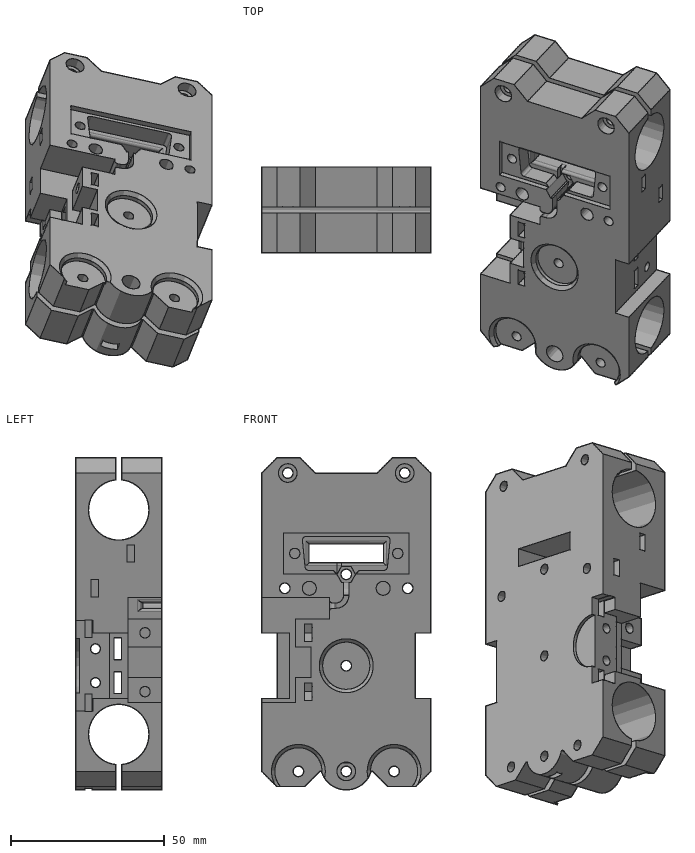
import cadquery as cq
import math


width = 55.0
thickness = 28.0
height = 108.0
top_z = 53.5
foot_z = -top_z
lobe_z = top_z - height
corner = 5.0
tab_inner_x = 15.0
foot_inner_x = 13.5
lobe_radius = 8.4
front_y = -thickness / 2
back_y = thickness / 2
side_x = width / 2

rod_z = 36.5
rod_diameter = 19.5
slit_width = 1.9

screw_diameter = 3.3
screw_head_diameter = 6.0
nut_flats = 5.6
nut_thickness = 2.4
nut_corner = nut_flats / math.sqrt(3)
clamp_z = 48.5
tab_screw_x = 19.0
tab_head_depth = 3.5
lobe_head_depth = 10.8
side_screw_x = 20.0
side_screw_z = 11.0
side_nut_y = 7.8
dowel_x = 12.0
dowel_diameter = 4.5
dowel_depth = 5.4

wheel_radius = 8.7
wheel_floor_radius = 7.7
wheel_depth = 2.7
wheel_taper = 1.3
foot_wheel_x = 15.5

mid_z = -14.1
notch_height = 21.2
notch_x = 22.5
deep_notch_x = 18.5
deep_notch_half_y = 3.0
rear_notch_y = 8.4
rear_notch_height = 29.4
rear_nut_x = 19.4
rear_nut_y = 9.8
rear_nut_spacing = 24.0
rear_recess_radius = 8.9
rear_recess_depth = 1.2
strap_y = 0.3
strap_width = 2.4
strap_height = 7.0
strap_spacing = 11.0
cross_hole_y = 7.6
cross_hole_diameter = 3.1

step_floor_y = -3.0
step_top_z = 8.1
step_shelf_z = 1.1
step_bottom_z = -26.0
step_end_x = -5.5
step_wall_x = -16.5
step_bay_x = -11.5
step_bay_top_z = -8.1
step_bay_bottom_z = -18.0
step_nut_x = -12.3
step_nut_y = -8.5
step_nut_z = (-3.5, -22.6)
step_screw_end_x = -8.6

seat_z = 22.4
seat_width = 40.8
seat_height = 13.3
seat_depth = 1.7
shell_top_half = 14.4
shell_bottom_half = 13.3
shell_height = 11.0
shell_round = 1.2
shell_depth = 7.3
window_width = 24.1
window_height = 6.0
window_round = 1.0
seat_screw_x = 16.7
seat_screw_depth = 6.5
seat_nut_y = -3.9

duct_nut_z = 15.5
duct_nut_corner = 3.0
duct_nut_floor_y = -3.0
duct_side_slot = 1.5
duct_side_slot_floor_y = -4.3
duct_flare = 4.2
duct_width = 1.7
duct_depth = 6.0
duct_bend = 3.3
duct_exit_z = 5.4
mouth_side_round = 1.1
mouth_floor_round = 1.8


def box(x0, x1, y0, y1, z0, z1):
    """Block between two opposite corners."""
    return cq.Workplane("XY").box(x1 - x0, y1 - y0, z1 - z0, centered=False).translate((x0, y0, z0))


def outline(y):
    """Front plane sketch at depth y: local x is X, local y is Z, negative extrusion goes to +Y."""
    plane = cq.Plane(origin=(0, y, 0), xDir=(1, 0, 0), normal=(0, -1, 0))
    return cq.Workplane(plane)


def cylinder(x, z, diameter, y0=front_y, depth=thickness):
    """Cylinder along +Y starting at y0."""
    return outline(y0).center(x, z).circle(diameter / 2).extrude(-depth)


def flat_nut_slot(reach):
    """Square-ended slot for a nut at the origin, reaching out along -X; nut thickness along Y."""
    half = nut_flats / 2
    return box(-reach, half, -nut_thickness / 2, nut_thickness / 2, -half, half)


def side_nut_slot(x, y, z):
    """Slot for the nut of a screw along Y, open on the left side."""
    return flat_nut_slot(side_x - x).translate((-x, y, z))


def mirrored(cutter):
    """A cutter together with its mirror image on the other side of the width."""
    return cutter.union(cutter.mirror("YZ"))


half_outline = [
    (0, top_z - corner),
    (tab_inner_x - corner, top_z - corner),
    (tab_inner_x, top_z),
    (side_x - corner, top_z),
    (side_x, top_z - corner),
    (side_x, foot_z + corner),
    (side_x - corner, foot_z),
    (foot_inner_x, foot_z),
    (foot_inner_x - corner, foot_z + corner),
    (0, foot_z + corner),
]
body = mirrored(outline(front_y).polyline(half_outline).close().extrude(-thickness))
body = body.union(cylinder(0, lobe_z + lobe_radius, 2 * lobe_radius))


def cut_rods(part):
    for sign in (1, -1):
        rod = cq.Workplane("YZ").center(0, sign * rod_z).circle(rod_diameter / 2).extrude(side_x, both=True)
        slit = box(-side_x, side_x, -slit_width / 2, slit_width / 2, rod_z, height)
        if sign < 0:
            slit = slit.mirror("XY")
        part = part.cut(rod).cut(slit)
    return part


def cut_connector(part):
    seat = outline(front_y).center(0, seat_z).rect(seat_width, seat_height).extrude(-seat_depth)
    half = shell_height / 2
    shell_points = [
        (-shell_bottom_half, -half),
        (shell_bottom_half, -half),
        (shell_top_half, half),
        (-shell_top_half, half),
    ]
    shell = outline(front_y).center(0, seat_z).polyline(shell_points).close().extrude(-shell_depth)
    shell = shell.edges("|Y").fillet(shell_round)
    window = outline(front_y).center(0, seat_z).rect(window_width, window_height).extrude(-thickness)
    part = part.cut(seat).cut(shell).cut(window)
    margin = 0.1
    rim_y = front_y + shell_depth
    rim = cq.selectors.BoxSelector(
        (-window_width / 2 - margin, rim_y - margin, seat_z - window_height / 2 - margin),
        (window_width / 2 + margin, rim_y + margin, seat_z + window_height / 2 + margin),
    )
    part = part.edges(rim).fillet(window_round)
    screw = cylinder(-seat_screw_x, seat_z, screw_diameter, depth=seat_depth + seat_screw_depth)
    return part.cut(mirrored(screw)).cut(mirrored(side_nut_slot(seat_screw_x, seat_nut_y, seat_z)))


def cut_screws(part):
    tab = cylinder(-tab_screw_x, clamp_z, screw_diameter)
    tab_head = cylinder(-tab_screw_x, clamp_z, screw_head_diameter, depth=tab_head_depth)
    part = part.cut(mirrored(tab.union(tab_head)))
    part = part.cut(cylinder(0, -clamp_z, screw_diameter))
    part = part.cut(cylinder(0, -clamp_z, screw_head_diameter, depth=lobe_head_depth))
    lobe_slot = flat_nut_slot(lobe_radius).rotate((0, 0, 0), (0, 1, 0), -90)
    part = part.cut(lobe_slot.translate((0, rear_nut_y, -clamp_z)))
    part = part.cut(mirrored(cylinder(-side_screw_x, side_screw_z, screw_diameter)))
    part = part.cut(mirrored(side_nut_slot(side_screw_x, side_nut_y, side_screw_z)))
    return part.cut(mirrored(cylinder(-dowel_x, side_screw_z, dowel_diameter, depth=dowel_depth)))


def cut_wheel_recesses(part):
    profile = [
        (0, 0),
        (wheel_radius, 0),
        (wheel_floor_radius, wheel_taper),
        (wheel_floor_radius, wheel_depth),
        (0, wheel_depth),
    ]
    recess = cq.Workplane("XY").polyline(profile).close().revolve(360, (0, 0, 0), (0, 1, 0))
    for x, z in ((0, mid_z), (-foot_wheel_x, -clamp_z), (foot_wheel_x, -clamp_z)):
        part = part.cut(recess.translate((x, front_y, z))).cut(cylinder(x, z, screw_diameter))
    return part


def cut_side_notches(part):
    low, high = mid_z - notch_height / 2, mid_z + notch_height / 2
    part = part.cut(mirrored(box(-side_x, -notch_x, front_y, back_y, low, high)))
    part = part.cut(box(-side_x, -deep_notch_x, front_y, deep_notch_half_y, low, high))
    rear_half = rear_notch_height / 2
    part = part.cut(box(-side_x, -notch_x, rear_notch_y, back_y, mid_z - rear_half, mid_z + rear_half))
    recess_y = back_y - rear_recess_depth
    part = part.cut(cylinder(-notch_x, mid_z, 2 * rear_recess_radius, recess_y, rear_recess_depth))
    for sign in (1, -1):
        part = part.cut(side_nut_slot(rear_nut_x, rear_nut_y, mid_z + sign * rear_nut_spacing / 2))
        z = mid_z + sign * strap_spacing / 2
        strap = cq.Workplane("XY").box(width, strap_width, strap_height).translate((0, strap_y, z))
        hole = cq.Workplane("YZ").center(cross_hole_y, z).circle(cross_hole_diameter / 2)
        part = part.cut(strap).cut(hole.extrude(side_x, both=True))
    return part


def cut_stepped_pocket(part):
    points = [
        (-side_x, step_top_z),
        (step_end_x, step_top_z),
        (step_end_x, step_shelf_z),
        (step_wall_x, step_shelf_z),
        (step_wall_x, step_bay_top_z),
        (step_bay_x, step_bay_top_z),
        (step_bay_x, step_bay_bottom_z),
        (step_wall_x, step_bay_bottom_z),
        (step_wall_x, step_bottom_z),
        (-side_x, step_bottom_z),
    ]
    part = part.cut(outline(front_y).polyline(points).close().extrude(front_y - step_floor_y))
    half = nut_flats / 2
    point_y = step_nut_y + nut_corner
    shoulder_y = step_nut_y + nut_corner / 2
    trap_points = [(front_y, -half), (shoulder_y, -half), (point_y, 0), (shoulder_y, half), (front_y, half)]
    trap = cq.Workplane("YZ").polyline(trap_points).close().extrude(nut_thickness / 2, both=True)
    for z in step_nut_z:
        screw = cq.Workplane("YZ", origin=(step_wall_x, step_nut_y, z)).circle(screw_diameter / 2)
        part = part.cut(trap.translate((step_nut_x, 0, z)))
        part = part.cut(screw.extrude(step_screw_end_x - step_wall_x))
    return part


def duct_mouth():
    """Rounded flare where the duct opens into the stepped pocket."""
    half = duct_width / 2
    wide = half + mouth_side_round
    inner_x = step_end_x + mouth_side_round
    diagonal = 1 - math.sqrt(0.5)
    side_bulge = mouth_side_round * diagonal
    floor_bulge = mouth_floor_round * diagonal
    across = (
        outline(front_y).center(0, duct_exit_z)
        .moveTo(step_end_x, -wide)
        .threePointArc((step_end_x + side_bulge, -half - side_bulge), (inner_x, -half))
        .lineTo(step_end_x + mouth_floor_round, -half)
        .lineTo(step_end_x + mouth_floor_round, half)
        .lineTo(inner_x, half)
        .threePointArc((step_end_x + side_bulge, half + side_bulge), (step_end_x, wide))
        .close()
        .extrude(-thickness / 2)
    )
    floor_y = front_y + duct_depth
    along = (
        cq.Workplane("XY", origin=(0, 0, duct_exit_z))
        .moveTo(step_end_x, front_y)
        .lineTo(step_end_x, floor_y + mouth_floor_round)
        .threePointArc(
            (step_end_x + floor_bulge, floor_y + floor_bulge),
            (step_end_x + mouth_floor_round, floor_y),
        )
        .lineTo(step_end_x + mouth_floor_round, front_y)
        .close()
        .extrude(wide, both=True)
    )
    return across.intersect(along)


def cut_wire_duct(part):
    half = duct_width / 2
    bend_z = duct_exit_z + duct_bend
    floor_y = front_y + duct_depth
    nut_depth = duct_nut_floor_y - front_y
    part = part.cut(cylinder(0, duct_nut_z, screw_diameter))
    nut = outline(front_y).center(0, duct_nut_z).polygon(6, 2 * duct_nut_corner).extrude(-nut_depth)
    sill_z = seat_z - window_height / 2
    sill_bulge = window_round * math.sqrt(0.5)
    slot = (
        cq.Workplane("YZ", origin=(-duct_nut_corner, 0, 0))
        .moveTo(front_y, duct_nut_z)
        .lineTo(duct_side_slot_floor_y, duct_nut_z)
        .lineTo(duct_side_slot_floor_y, sill_z - window_round)
        .threePointArc(
            (duct_side_slot_floor_y + window_round - sill_bulge, sill_z - window_round + sill_bulge),
            (duct_side_slot_floor_y + window_round, sill_z),
        )
        .lineTo(front_y, sill_z)
        .close()
        .extrude(duct_side_slot)
    )
    shell_z = seat_z - shell_height / 2
    flare_points = [
        (-duct_nut_corner, duct_nut_z),
        (duct_nut_corner, duct_nut_z),
        (duct_flare, shell_z),
        (-duct_flare, shell_z),
    ]
    flare = outline(front_y).polyline(flare_points).close().extrude(-shell_depth)
    upright = box(-half, half, front_y, floor_y, bend_z, duct_nut_z)
    run = box(step_end_x, -duct_bend, front_y, floor_y, duct_exit_z - half, duct_exit_z + half)
    elbow = outline(front_y).center(-duct_bend, bend_z).circle(duct_bend + half)
    elbow = elbow.circle(duct_bend - half).extrude(-duct_depth)
    elbow = elbow.intersect(box(-duct_bend, half, front_y, floor_y, duct_exit_z - half, bend_z))
    nut_edge_z = duct_nut_z - duct_nut_corner * math.sin(math.pi / 3)
    ramp_radius = nut_edge_z - bend_z
    ramp = cq.Workplane("YZ", origin=(-half, duct_nut_floor_y - ramp_radius, nut_edge_z))
    ramp = ramp.circle(ramp_radius).extrude(duct_width)
    ramp = ramp.intersect(box(-half, half, front_y, back_y, bend_z, nut_edge_z))
    for cutter in (nut, slot, flare, upright, ramp, elbow, run, duct_mouth()):
        part = part.cut(cutter)
    return part


body = cut_connector(body)
body = cut_rods(body)
body = cut_screws(body)
body = cut_wheel_recesses(body)
body = cut_side_notches(body)
body = cut_stepped_pocket(body)
result = cut_wire_duct(body)